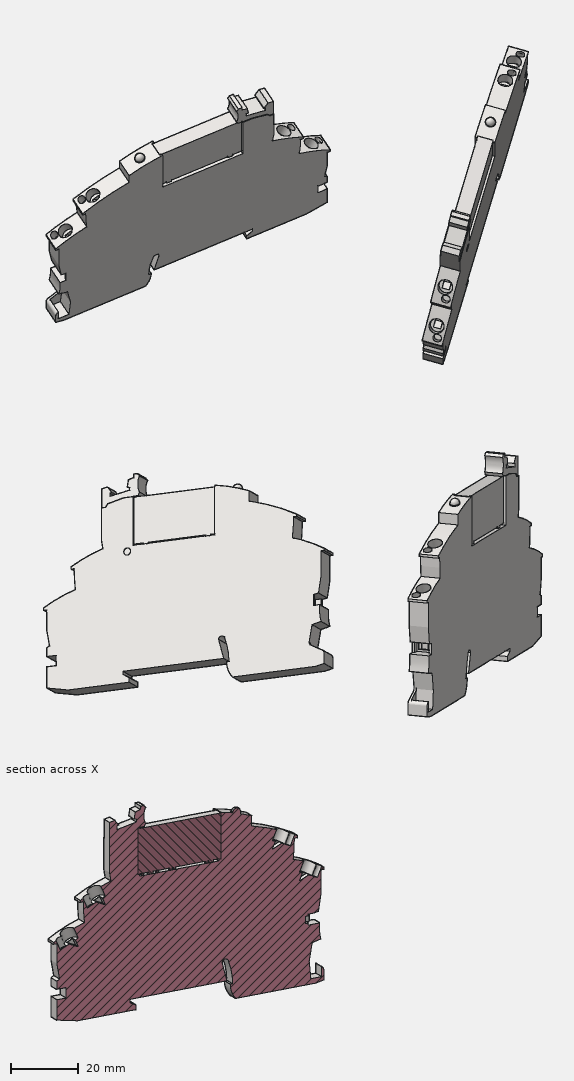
import cadquery as cq
import math

HALF_LENGTH = 45.9
THICKNESS = 6.1
LEVER_THICKNESS = 5.7

DECK_DROP = 7.3
LIP_DEPTH = 0.7
LIP_OVERHANG = 1.0
LOWER_DECK_TIP = 35.95
LOWER_DECK_MIDDLE = (40.6, 38.5)
LOWER_DECK_ROOT = (35.5, 40.35)
STEP_KINK = (35.8, 43.6)
UPPER_DECK_TIP = (36.9, 47.5)
FRONT_UPPER_MIDDLE = (29.2, 50.9)
FRONT_UPPER_ROOT = (21.4, 53.3)
REAR_UPPER_MIDDLE = (31.9, 49.9)
REAR_UPPER_ROOT = (26.5, 51.8)
LIP_WALL = HALF_LENGTH - LIP_OVERHANG
UPPER_WALL = UPPER_DECK_TIP[0] - LIP_OVERHANG
LOWER_TIP = (HALF_LENGTH, LOWER_DECK_TIP)
LOWER_LIP = (HALF_LENGTH, LOWER_DECK_TIP - LIP_DEPTH)
LOWER_LIP_ROOT = (LIP_WALL, LOWER_LIP[1])
UPPER_LIP = (UPPER_DECK_TIP[0], UPPER_DECK_TIP[1] - LIP_DEPTH)
UPPER_LIP_ROOT = (UPPER_WALL, UPPER_LIP[1])

RELAY_WIDTH = 4.8
RELAY_FRONT = -10.8
RELAY_BACK = 17.2
RELAY_BOTTOM = 44.85
RELAY_TOP = 59.2
WINDOW_FRONT = -10.1
WINDOW_BACK = 16.6
WINDOW_FLOOR = 44.3
OPENING_CLEARANCE = 0.1
HUMP_TOP = 59.5
FOOT_LENGTH = 1.65
FEET_Y = (12.8, -7.6)
PIN_LENGTH = 0.7
PIN_WIDTH = 0.9
PINS_Y = (15.6, 10.55, 6.05, 4.8, -6.1)

LEVER_BACK = 27.0
SEAM = [(LEVER_BACK, 57.0), (25.7, 57.0), (24.85, 58.05), (19.7, RELAY_TOP), (WINDOW_BACK, RELAY_TOP)]

DECK_TILT = 24.0
LARGE_HOLE_DIAMETER = 4.4
LARGE_HOLE_DEPTH = 3.7
CLAMP_HOLE_SIZE = 2.2
CLAMP_HOLE_DEPTH = 2.5
SLOT_LENGTH = 2.6
SLOT_WIDTH = 2.2
SLOT_DEPTH = 3.7
SLOT_X = -1.1
SLOT_OFFSET = 3.4
LARGE_HOLES = [(31.9, 49.9), (41.1, 38.3)]

LAMP_Y = -16.1
LAMP_SURFACE_Z = 58.2
LAMP_TILT = 14.0
LAMP_RING_RADIUS = 1.6
LAMP_RING_HEIGHT = 0.2
LAMP_ROOT = 0.55
LAMP_DOME_RADIUS = 1.5

MARK_Y = 18.5
MARK_Z = 42.6
MARK_RADIUS = 1.1
MARK_DEPTH = 0.2

NOTCH_BOTTOM = 18.8
NOTCH_TOP = 22.1
NOTCH_Y = -42.4
POCKET_INNER_HEIGHTS = (19.4, 21.55)
POCKET_STEPS = [(4.6, 1.8, (NOTCH_BOTTOM, NOTCH_TOP)), (3.7, 2.3, POCKET_INNER_HEIGHTS),
                (2.2, 2.75, POCKET_INNER_HEIGHTS)]

TOE_WALL = 0.7
WALL_TOP = (-41.9, 12.9)
TOE_CORNER = (-41.0, 7.9)
RECESS_TOP = tuple(corner + 0.1 * (corner - top) for corner, top in zip(TOE_CORNER, WALL_TOP))
TOE_RECESS = [TOE_CORNER, RECESS_TOP, (-41.45, 1.8), (-44.9, 1.8), (-44.9, 7.3)]


def lowered(point):
    """A +Y deck point from the matching -Y one."""
    return (point[0], point[1] - DECK_DROP)


def front(point):
    """Mirror a deck point to the -Y end."""
    return (-point[0], point[1])


def profile(start):
    return cq.Workplane("YZ").moveTo(*start)


def extruded(wire, width):
    return wire.close().extrude(width / 2, both=True)


def box(width, y_range, z_range):
    """A block centred on X between two Y and two Z limits."""
    size_y = y_range[1] - y_range[0]
    size_z = z_range[1] - z_range[0]
    return cq.Workplane("XY").box(width, size_y, size_z).translate((0, sum(y_range) / 2, sum(z_range) / 2))


def make_plate():
    """The full-thickness housing outline, counted round from the toe of the foot."""
    outline = profile((-HALF_LENGTH, 3.85))
    for point in [(-HALF_LENGTH, 0.55), (-43.1, 0), (-15.9, 0)]:
        outline = outline.lineTo(*point)
    outline = outline.threePointArc((-14.5, 2.2), (-13.9, 4.95)).lineTo(-14.8, 4.95)
    outline = outline.threePointArc((-14.5, 8.2), (-13.4, 12.1)).threePointArc((-12.3, 13.0), (-11.4, 12.1))
    for point in [(-13.0, 6.05), (19.9, 6.05), (19.9, 5.1), (17.9, 4.0), (17.9, 2.5), (37.8, 2.5)]:
        outline = outline.lineTo(*point)
    for point in [(LIP_WALL, 3.9), (LIP_WALL, 10.5), (41.7, 10.5), (41.7, 13.6), (LIP_WALL, 13.6),
                  (LIP_WALL, 16.2), (43.9, 16.8), (LIP_WALL, 21.7)]:
        outline = outline.lineTo(*point)
    for point in [LOWER_LIP_ROOT, LOWER_LIP, LOWER_TIP]:
        outline = outline.lineTo(*lowered(point))
    outline = outline.threePointArc(lowered(LOWER_DECK_MIDDLE), lowered(LOWER_DECK_ROOT))
    for point in [STEP_KINK, UPPER_LIP_ROOT, UPPER_LIP, UPPER_DECK_TIP]:
        outline = outline.lineTo(*lowered(point))
    outline = outline.threePointArc(lowered(REAR_UPPER_MIDDLE), lowered(REAR_UPPER_ROOT))
    outline = outline.lineTo(LEVER_BACK, 47.1)
    for point in SEAM + [(WINDOW_FRONT, RELAY_TOP), (-10.3, HUMP_TOP)]:
        outline = outline.lineTo(*point)
    outline = outline.threePointArc((LAMP_Y, LAMP_SURFACE_Z), (-FRONT_UPPER_ROOT[0], 56.5))
    outline = outline.lineTo(*front(FRONT_UPPER_ROOT))
    outline = outline.threePointArc(front(FRONT_UPPER_MIDDLE), front(UPPER_DECK_TIP))
    for point in [UPPER_LIP, UPPER_LIP_ROOT, STEP_KINK, LOWER_DECK_ROOT]:
        outline = outline.lineTo(*front(point))
    outline = outline.threePointArc(front(LOWER_DECK_MIDDLE), front(LOWER_TIP))
    for point in [LOWER_LIP, LOWER_LIP_ROOT]:
        outline = outline.lineTo(*front(point))
    for point in [(-LIP_WALL, 27.5), (-44.0, 22.4), (NOTCH_Y, NOTCH_TOP), (NOTCH_Y, NOTCH_BOTTOM),
                  (-44.4, NOTCH_BOTTOM), (-44.4, 17.5)]:
        outline = outline.lineTo(*point)
    outline = outline.threePointArc((-44.5, 15.5), (-LIP_WALL, 13.6))
    outline = outline.lineTo(*WALL_TOP).lineTo(*TOE_CORNER)
    outline = outline.threePointArc((-41.1, 7.15), (-41.5, 6.7)).lineTo(-44.8, 5.0)
    outline = outline.threePointArc((-45.6, 4.5), (-HALF_LENGTH, 3.85))
    return extruded(outline, THICKNESS)


def make_lever():
    """The ejector lever with its two horns; it stands on the housing seam and is part of it."""
    outline = profile(SEAM[-1])
    for point in [(WINDOW_BACK, 59.4), (15.0, 59.4), (14.6, 60.4)]:
        outline = outline.lineTo(*point)
    outline = outline.threePointArc((15.0, 61.6), (15.1, 62.9)).threePointArc((15.0, 64.2), (14.6, 65.4))
    for point in [(15.2, 66.2), (16.5, 66.2), (16.5, 65.1), (18.25, 64.7), (18.6, 62.5), (17.9, 62.3),
                  (17.9, 61.4), (24.3, 60.25), (24.3, 61.3), (23.7, 61.4), (25.1, 63.3), (LEVER_BACK, 62.9)]:
        outline = outline.lineTo(*point)
    for point in SEAM[:-1]:
        outline = outline.lineTo(*point)
    return extruded(outline, LEVER_THICKNESS)


def make_terminal_cutter():
    """Openings of one terminal on a level deck, with the outer end of the module towards +Y."""
    large_hole = cq.Workplane("XY").circle(LARGE_HOLE_DIAMETER / 2).extrude(LARGE_HOLE_DEPTH, both=True)
    half_size = CLAMP_HOLE_SIZE / 2
    floor = -LARGE_HOLE_DEPTH
    wedge = profile((half_size, floor)).lineTo(-half_size, floor).lineTo(-half_size, floor - CLAMP_HOLE_DEPTH)
    clamp_hole = extruded(wedge, CLAMP_HOLE_SIZE)
    slot = cq.Workplane("XY").center(SLOT_X, SLOT_OFFSET).slot2D(SLOT_LENGTH, SLOT_WIDTH)
    return large_hole.union(clamp_hole).union(slot.extrude(SLOT_DEPTH, both=True))


def make_terminals():
    """Cutters for all four terminals, each square to its sloping deck."""
    rear = make_terminal_cutter().rotate((0, 0, 0), (1, 0, 0), -DECK_TILT)
    front_side = rear.mirror("XZ")
    cutters = cq.Workplane("XY")
    for y, z in LARGE_HOLES:
        cutters = cutters.add(front_side.translate((0, -y, z))).add(rear.translate((0, y, z - DECK_DROP)))
    return cutters.combine()


def make_lamp():
    """A domed lamp on a thin ring that lies on the sloping top."""
    tilt = math.radians(LAMP_TILT)
    normal = (0, -math.sin(tilt), math.cos(tilt))
    seat = cq.Plane(origin=(0, LAMP_Y, LAMP_SURFACE_Z), xDir=(1, 0, 0), normal=normal)
    ring = cq.Workplane(seat).workplane(offset=-LAMP_ROOT).circle(LAMP_RING_RADIUS)
    dome = cq.Workplane(seat).workplane(offset=LAMP_RING_HEIGHT).sphere(LAMP_DOME_RADIUS)
    return ring.extrude(LAMP_ROOT + LAMP_RING_HEIGHT).union(dome)


def make_relay_opening():
    """A window through the full thickness, with narrower slots that hold the relay's ends."""
    opening_top = RELAY_TOP + OPENING_CLEARANCE
    window = box(THICKNESS, (WINDOW_FRONT, WINDOW_BACK), (WINDOW_FLOOR, opening_top))
    end_slots = box(RELAY_WIDTH, (RELAY_FRONT, RELAY_BACK), (RELAY_BOTTOM, RELAY_TOP))
    hump_slot = box(RELAY_WIDTH, (RELAY_FRONT, WINDOW_FRONT), (RELAY_BOTTOM, HUMP_TOP))
    return window.union(end_slots).union(hump_slot)


def make_contact_pocket():
    """A pocket in the back of the -Y notch that narrows in steps."""
    pocket = cq.Workplane("XY")
    for width, depth, heights in POCKET_STEPS:
        pocket = pocket.add(box(width, (NOTCH_Y, NOTCH_Y + depth), heights))
    return pocket.combine()


def make_toe_recess():
    recess = cq.Workplane("YZ").polyline(TOE_RECESS).close().extrude(THICKNESS)
    return recess.translate((TOE_WALL - THICKNESS / 2, 0, 0))


def make_mark():
    side = cq.Workplane("YZ").workplane(offset=-THICKNESS / 2)
    return side.center(MARK_Y, MARK_Z).circle(MARK_RADIUS).extrude(MARK_DEPTH)


def make_housing():
    housing = make_plate().cut(make_relay_opening()).union(make_lever()).union(make_lamp())
    for cutter in (make_terminals(), make_contact_pocket(), make_toe_recess(), make_mark()):
        housing = housing.cut(cutter)
    return housing


def make_relay():
    """A plain block on two full-width feet and a row of pins."""
    relay = box(RELAY_WIDTH, (RELAY_FRONT, RELAY_BACK), (RELAY_BOTTOM, RELAY_TOP))
    supports = [(y, FOOT_LENGTH, RELAY_WIDTH) for y in FEET_Y] + [(y, PIN_LENGTH, PIN_WIDTH) for y in PINS_Y]
    for y, length, width in supports:
        relay = relay.union(box(width, (y - length / 2, y + length / 2), (WINDOW_FLOOR, RELAY_BOTTOM)))
    return relay


housing = make_housing()
relay = make_relay()
result = cq.Compound.makeCompound([housing.solids().val(), relay.solids().val()])